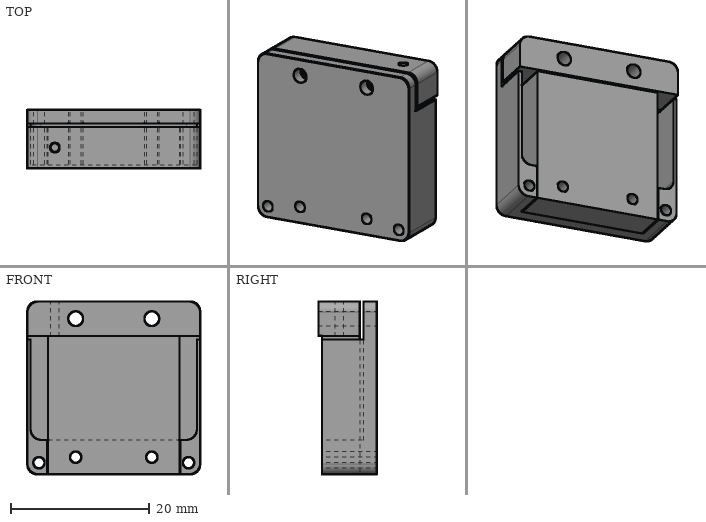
import cadquery as cq

WIDTH = 25.0
HEIGHT = 25.0
DEPTH = 8.5
CORNER_RADIUS = 1.5

HEAD_HEIGHT = 5.0
HEAD_DEPTH = 6.0
HEAD_STEP = 0.5
STEM_WIDTH = 18.98

HEAD_CLEARANCE = 0.5
STEM_CLEARANCE = 0.12
CHEEK_WALL = 0.5
POCKET_FLOOR = 5.0
POCKET_RADIUS = 1.5
BACK_CHAMFER = 0.1

SLIDER_HOLE_X = 5.5
HEAD_HOLE_Z = HEIGHT - HEAD_HEIGHT / 2
HEAD_HOLE_DIAMETER = 2.1
STEM_HOLE_Z = 2.5
CORNER_HOLE_INSET = 1.7
CORNER_HOLE_X = WIDTH / 2 - CORNER_HOLE_INSET
CORNER_HOLE_Z = CORNER_HOLE_INSET
SMALL_HOLE_DIAMETER = 1.6
CUTTER_OVERRUN = 0.25

SCREW_X = -8.5
SCREW_DIAMETER = 1.25
SCREW_DEPTH = HEAD_HEIGHT
SCREW_CHAMFER = 0.08

HEAD_BOTTOM = HEIGHT - HEAD_HEIGHT
POCKET_BACK = HEAD_DEPTH + HEAD_CLEARANCE
CHEEK_TOP = HEAD_BOTTOM - HEAD_CLEARANCE


def block(width, y_front, y_back, z_bottom, z_top):
    """Box centred on X = 0 between the given Y and Z limits."""
    box = cq.Workplane("XY").box(width, y_back - y_front, z_top - z_bottom, centered=(True, False, False))
    return box.translate((0, y_front, z_bottom))


def mirrored_holes(x, z, diameter):
    """Pair of cylinders along Y at +x and -x, longer than the part is deep."""
    plane = cq.Workplane("XZ", origin=(0, DEPTH + CUTTER_OVERRUN, 0))
    return plane.pushPoints([(-x, z), (x, z)]).circle(diameter / 2).extrude(DEPTH + 2 * CUTTER_OVERRUN)


def slider_holes():
    """Four holes that run through both the slider and the housing back."""
    head_holes = mirrored_holes(SLIDER_HOLE_X, HEAD_HOLE_Z, HEAD_HOLE_DIAMETER)
    stem_holes = mirrored_holes(SLIDER_HOLE_X, STEM_HOLE_Z, SMALL_HOLE_DIAMETER)
    return head_holes.union(stem_holes)


def make_slider():
    """T-shaped slider with its through holes and the chamfered screw hole in its top."""
    head = block(WIDTH, 0, HEAD_DEPTH, HEAD_BOTTOM, HEIGHT)
    head = head.edges("|Y and >Z").fillet(CORNER_RADIUS)
    stem = block(STEM_WIDTH, HEAD_STEP, HEAD_DEPTH, 0, HEAD_BOTTOM)
    slider = head.union(stem).cut(slider_holes())

    screw_top = cq.Workplane("XY", origin=(SCREW_X, HEAD_DEPTH / 2, HEIGHT))
    screw_hole = screw_top.circle(SCREW_DIAMETER / 2).extrude(-SCREW_DEPTH)
    mouth = screw_top.circle(SCREW_DIAMETER / 2 + SCREW_CHAMFER).workplane(offset=-SCREW_CHAMFER)
    mouth = mouth.circle(SCREW_DIAMETER / 2).loft()
    return slider.cut(screw_hole).cut(mouth)


def make_housing():
    """Housing: a back plate, two thin side walls and two bottom corner blocks beside the stem."""
    housing = block(WIDTH, HEAD_STEP, DEPTH, 0, HEIGHT)
    housing = housing.edges("|Y").fillet(CORNER_RADIUS)
    housing = housing.faces(">Y").chamfer(BACK_CHAMFER)

    housing = housing.cut(block(WIDTH, 0, POCKET_BACK, CHEEK_TOP, HEIGHT))

    pocket = block(WIDTH - 2 * CHEEK_WALL, 0, POCKET_BACK, POCKET_FLOOR, HEIGHT)
    housing = housing.cut(pocket.edges("|Y and <Z").fillet(POCKET_RADIUS))

    channel_width = STEM_WIDTH + 2 * STEM_CLEARANCE
    housing = housing.cut(block(channel_width, 0, HEAD_DEPTH, 0, POCKET_FLOOR))

    corner_holes = mirrored_holes(CORNER_HOLE_X, CORNER_HOLE_Z, SMALL_HOLE_DIAMETER)
    return housing.cut(slider_holes()).cut(corner_holes)


slider = make_slider()
housing = make_housing()

result = cq.Compound.makeCompound([slider.solids().val(), housing.solids().val()])